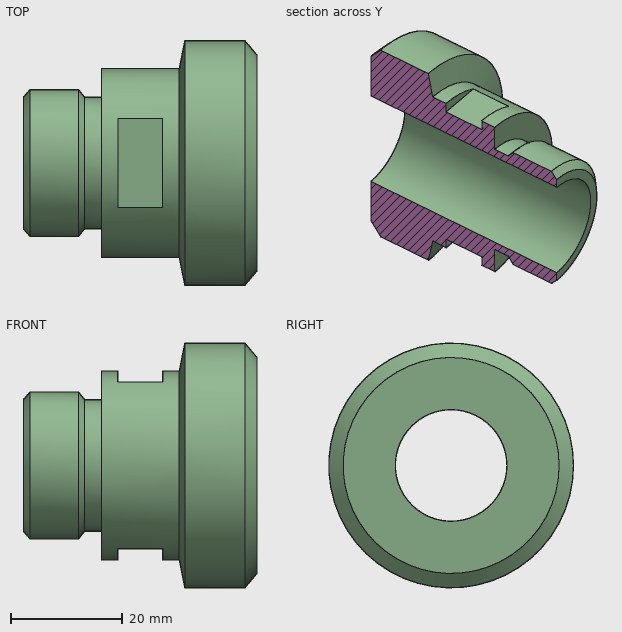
import cadquery as cq

spigot_chamfer_length = 1.2
groove_taper_start = 9.9
groove_start = 11.0
body_start = 14.0
flat_start = 17.0
flat_length = 8.0
body_end = 28.0
collar_start = 29.0
collar_end = 39.8
total_length = 42.0

bore_diameter = 20.0
spigot_diameter = 26.44
spigot_tip_diameter = 23.7
groove_diameter = 23.7
body_diameter = 34.0
collar_diameter = 44.0
collar_end_diameter = 38.8

across_flats = 30.0


def make_turned_body():
    """Revolve the stepped half-profile, including the through bore, about X."""
    profile = [
        (0, bore_diameter / 2),
        (0, spigot_tip_diameter / 2),
        (spigot_chamfer_length, spigot_diameter / 2),
        (groove_taper_start, spigot_diameter / 2),
        (groove_start, groove_diameter / 2),
        (body_start, groove_diameter / 2),
        (body_start, body_diameter / 2),
        (body_end, body_diameter / 2),
        (collar_start, collar_diameter / 2),
        (collar_end, collar_diameter / 2),
        (total_length, collar_end_diameter / 2),
        (total_length, bore_diameter / 2),
    ]
    return cq.Workplane("XY").polyline(profile).close().revolve(360, (0, 0, 0), (1, 0, 0))


def make_flat_cutter(side):
    """Block that mills one wrench flat; side is +1 for the top, -1 for the bottom."""
    flat_depth = (body_diameter - across_flats) / 2
    center_x = flat_start + flat_length / 2
    center_z = side * (across_flats + flat_depth) / 2
    cutter = cq.Workplane("XY").box(flat_length, body_diameter, flat_depth)
    return cutter.translate((center_x, 0, center_z))


result = make_turned_body()
for side in (1, -1):
    result = result.cut(make_flat_cutter(side))